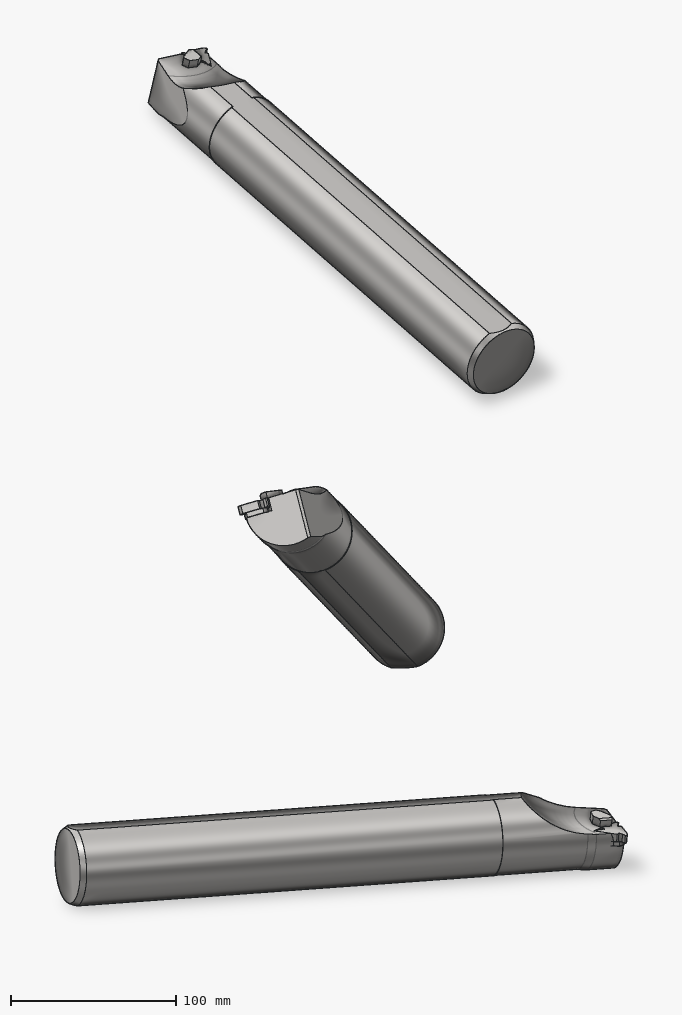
import cadquery as cq
import math

overall_length = 350.0
shank_radius = 25.0
flat_height = 23.5
back_chamfer_length = 3.5
back_chamfer_depth = 2.0

head_length = 79.0
head_radius = 24.5
nose_radius = 25.2
nose_end = 19.2
nose_taper_end = 24.5
front_face = 1.5
margin = 35.0

tilt = 14.0
rake_height = 7.5
runout_start = 24.5
runout_radius = 47.2
runout_axis = (-10.5, 3.5)
runout_sweep = 70.0
wall_offset = 10.0
wall_start = 2.8
wall_angle = 15.5
front_chamfer_width = 1.8

insert_inradius = 6.3
insert_center = (insert_inradius, 19.0)
insert_bottom = 2.0
pocket_floor = -0.88
corner_count = 3
tooth_points = [(-insert_inradius, 7.5), (-5.2, 9.5), (-4.2, 9.5), (-3.0, 7.5), (-1.5, 5.5), (0.18, 7.0)]
shim_points = [(-5.5, 5.2), (-1.8, 7.5)]

clamp_top = 12.5
clamp_nose_drop = 1.0
clamp_outline = [(6.3, 14.5), (5.5, 10.0), (10.0, 3.0), (12.2, 1.5), (16.0, 3.0), (16.8, 9.5), (13.5, 14.5)]


def tilted(body):
    """Turn a body from the tilted frame into its place on the bar."""
    return body.rotate((0, 0, 0), (1, 0, 0), -tilt)


def repeat_corner(points):
    """Outline around the insert center made of equal corners, running clockwise."""
    outline = []
    for i in range(corner_count):
        turn = -math.radians(360 / corner_count * i)
        for x, y in points:
            outline.append((
                insert_center[0] + x * math.cos(turn) - y * math.sin(turn),
                insert_center[1] + x * math.sin(turn) + y * math.cos(turn),
            ))
    return outline


def prism(outline, bottom, top):
    return cq.Workplane("XY").workplane(offset=bottom).polyline(outline).close().extrude(top - bottom)


def make_bar():
    """Round bar with a thicker nose, a flat along the top and one below the shank."""
    bar = (
        cq.Workplane("XY")
        .moveTo(front_face, 0)
        .lineTo(front_face, nose_radius)
        .lineTo(nose_end, nose_radius)
        .lineTo(nose_taper_end, head_radius)
        .lineTo(head_length, head_radius)
        .lineTo(head_length, shank_radius)
        .lineTo(overall_length - back_chamfer_length, shank_radius)
        .lineTo(overall_length, shank_radius - back_chamfer_depth)
        .lineTo(overall_length, 0)
        .close()
        .revolve(360, (0, 0, 0), (1, 0, 0))
    )
    flat_cutter = cq.Workplane("XY").box(
        overall_length, 2 * margin, margin, centered=(False, True, False)
    )
    top_cutter = flat_cutter.translate((0, 0, flat_height))
    shank_bottom_cutter = flat_cutter.translate((head_length, 0, -flat_height - margin))
    return bar.cut(top_cutter).cut(shank_bottom_cutter)


def make_rake_cutter():
    """Round cutter with a flat bottom whose rim curves up to leave the bar."""

    def runout_point(angle):
        turn = math.radians(angle)
        return (flat_radius + runout_radius * math.sin(turn),
                rake_height + runout_radius * (1 - math.cos(turn)))

    flat_radius = runout_start - runout_axis[0]
    end = runout_point(runout_sweep)
    return (
        cq.Workplane("XZ")
        .moveTo(0, rake_height)
        .lineTo(flat_radius, rake_height)
        .threePointArc(runout_point(runout_sweep / 2), end)
        .lineTo(0, end[1])
        .close()
        .revolve(360, (0, 0, 0), (0, 1, 0))
        .translate((*runout_axis, 0))
    )


def make_wall_cutter():
    """Slanting side wall with a chamfer at the front face."""
    wall_length = margin / math.tan(math.radians(wall_angle))
    outline = [
        (front_face, front_chamfer_width - wall_offset),
        (wall_start, -wall_offset),
        (wall_start + wall_length, -wall_offset - margin),
        (front_face, -wall_offset - margin),
    ]
    return prism(outline, -margin, margin)


def make_holder():
    triangle = repeat_corner([(-insert_inradius, insert_inradius * math.sqrt(3))])
    pocket = prism(triangle, pocket_floor, rake_height)
    shim = prism(repeat_corner(shim_points), pocket_floor, insert_bottom)
    clamp = (
        prism(clamp_outline, rake_height, clamp_top)
        .faces(">Z").edges(">Y").chamfer(clamp_nose_drop)
    )
    holder = make_bar()
    for cutter in (make_rake_cutter(), make_wall_cutter(), pocket):
        holder = holder.cut(tilted(cutter))
    return holder.union(tilted(shim)).union(tilted(clamp))


def make_insert():
    return tilted(prism(repeat_corner(tooth_points), insert_bottom, rake_height))


holder = make_holder()
insert = make_insert()
result = cq.Compound.makeCompound([*holder.solids().vals(), insert.val()])